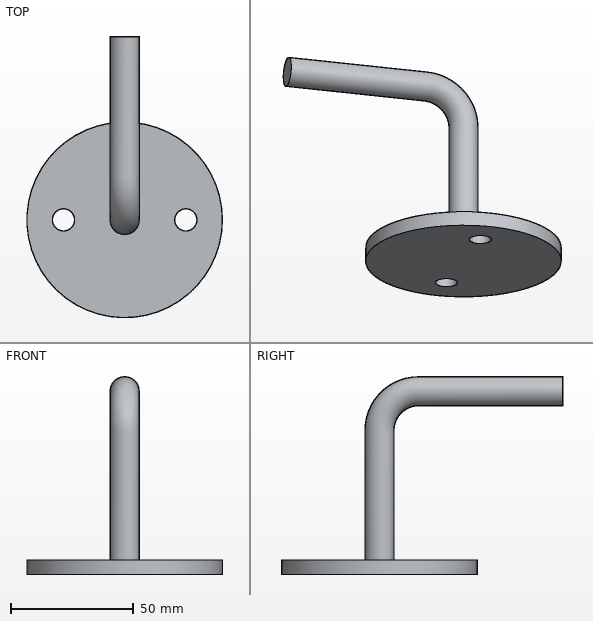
import cadquery as cq

plate_diameter = 80.0
plate_thickness = 6.0
hole_diameter = 9.0
hole_spacing = 50.0
rod_diameter = 12.0
bend_radius = 16.0
total_length = 115.0
total_height = 81.0

rod_end_y = total_length - plate_diameter / 2
rod_axis_z = total_height - rod_diameter / 2


def make_plate():
    """Round mounting plate with two screw holes."""
    return (
        cq.Workplane("XY")
        .circle(plate_diameter / 2)
        .extrude(plate_thickness)
        .faces(">Z")
        .workplane()
        .pushPoints([(-hole_spacing / 2, 0), (hole_spacing / 2, 0)])
        .hole(hole_diameter)
    )


def make_rod():
    """Round rod rising from the plate and bending toward +Y."""
    path = (
        cq.Workplane("YZ")
        .lineTo(0, rod_axis_z - bend_radius)
        .radiusArc((bend_radius, rod_axis_z), bend_radius)
        .lineTo(rod_end_y, rod_axis_z)
    )
    return cq.Workplane("XY").circle(rod_diameter / 2).sweep(path)


result = make_plate().union(make_rod())